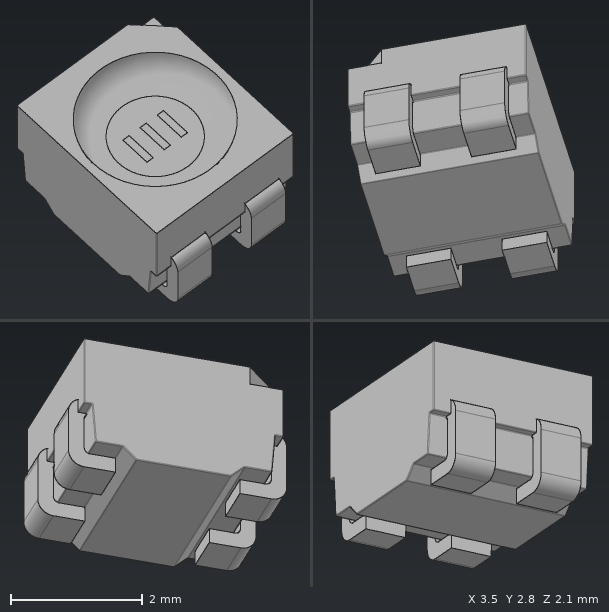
import cadquery as cq
import math

LEAD_SPAN = 3.5
BODY_DEPTH = 2.8
HEIGHT = 2.1

UPPER_HALF_WIDTH = 1.6
STEP_HALF_WIDTH = 1.465
BASE_HALF_WIDTH = 1.415
NOSE_TOP_HALF_WIDTH = 0.975
NOSE_BOTTOM_HALF_WIDTH = 0.76
STEP_Z = 0.955
BASE_Z = 0.295
NOSE_Z = 0.09
EDGE_RADIUS = 0.015

MARK_LEG = 0.54
MARK_DEPTH = 0.308

BOWL_TOP_RADIUS = 1.25
BOWL_FLOOR_RADIUS = 0.75
BOWL_DEPTH = 0.45
BOWL_WALL_BULGE = 0.112
FLOOR_Z = HEIGHT - BOWL_DEPTH

DISC_THICKNESS = 0.07
CHIP_COUNT = 3
CHIP_LENGTH = 0.55
CHIP_WIDTH = 0.125
CHIP_PITCH = 0.35

LEAD_WIDTH = 0.7
LEAD_PITCH = 1.5
LEAD_THICKNESS = 0.25
LEAD_OUTER_RADIUS = LEAD_THICKNESS
LEAD_INNER_RADIUS = 0.1
LEAD_END_X = 0.998
LEAD_TOP_Z = STEP_Z + LEAD_THICKNESS


def make_lead(side, y_center):
    """C-shaped lead: its upper arm enters the housing, its foot turns back underneath."""
    outer_x = LEAD_SPAN / 2
    inner_x = outer_x - LEAD_THICKNESS
    arm_length = outer_x - LEAD_END_X
    slot_length = inner_x - LEAD_END_X
    slot_height = LEAD_TOP_Z - 2 * LEAD_THICKNESS
    center_z = LEAD_TOP_Z / 2

    block = (
        cq.Workplane("XY")
        .box(arm_length, LEAD_WIDTH, LEAD_TOP_Z)
        .translate((LEAD_END_X + arm_length / 2, 0, center_z))
        .edges("|Y and >X")
        .fillet(LEAD_OUTER_RADIUS)
    )
    slot = (
        cq.Workplane("XY")
        .box(slot_length, LEAD_WIDTH, slot_height)
        .translate((LEAD_END_X + slot_length / 2, 0, center_z))
        .edges("|Y and >X")
        .fillet(LEAD_INNER_RADIUS)
    )
    lead = block.cut(slot)
    if side < 0:
        lead = lead.mirror("YZ")
    return lead.translate((0, y_center, 0))


def make_chip(y_center):
    """Flat rectangular chip whose top is flush with the bowl floor."""
    return cq.Workplane("XY").box(CHIP_LENGTH, CHIP_WIDTH, DISC_THICKNESS).translate(
        (0, y_center, FLOOR_Z - DISC_THICKNESS / 2)
    )


def make_floor_disc():
    """Plain round disc that forms the bowl floor."""
    return (
        cq.Workplane("XY", origin=(0, 0, FLOOR_Z - DISC_THICKNESS))
        .circle(BOWL_FLOOR_RADIUS)
        .extrude(DISC_THICKNESS)
    )


def make_housing_block():
    """Stepped cross-section run along Y, with every edge rounded except around the top."""
    right_side = [
        (UPPER_HALF_WIDTH, HEIGHT),
        (UPPER_HALF_WIDTH, STEP_Z),
        (STEP_HALF_WIDTH, STEP_Z),
        (BASE_HALF_WIDTH, BASE_Z),
        (NOSE_TOP_HALF_WIDTH, BASE_Z),
        (NOSE_BOTTOM_HALF_WIDTH, NOSE_Z),
    ]
    left_side = [(-x, z) for x, z in reversed(right_side)]
    block = (
        cq.Workplane("XZ")
        .polyline(right_side + left_side)
        .close()
        .extrude(BODY_DEPTH / 2, both=True)
    )
    return block.edges("not >Z").fillet(EDGE_RADIUS)


def make_corner_mark():
    """Triangular prism that notches the top at the -X, +Y corner."""
    corner_x = -UPPER_HALF_WIDTH
    corner_y = BODY_DEPTH / 2
    return (
        cq.Workplane("XY", origin=(0, 0, HEIGHT - MARK_DEPTH))
        .polyline([(corner_x, corner_y), (corner_x + MARK_LEG, corner_y), (corner_x, corner_y - MARK_LEG)])
        .close()
        .extrude(MARK_DEPTH)
    )


def make_bowl():
    """Bowl revolved about Z; its wall is an arc that bulges down and outward."""
    run = BOWL_TOP_RADIUS - BOWL_FLOOR_RADIUS
    wall_chord = math.hypot(run, BOWL_DEPTH)
    wall_middle = (
        (BOWL_TOP_RADIUS + BOWL_FLOOR_RADIUS) / 2 + BOWL_WALL_BULGE * BOWL_DEPTH / wall_chord,
        HEIGHT - BOWL_DEPTH / 2 - BOWL_WALL_BULGE * run / wall_chord,
    )
    return (
        cq.Workplane("XZ")
        .moveTo(0, FLOOR_Z)
        .lineTo(BOWL_FLOOR_RADIUS, FLOOR_Z)
        .threePointArc(wall_middle, (BOWL_TOP_RADIUS, HEIGHT))
        .lineTo(0, HEIGHT)
        .close()
        .revolve(360, (0, 0, 0), (0, 1, 0))
    )


leads = []
for side in (-1, 1):
    for row in (-1, 1):
        leads.append(make_lead(side, row * LEAD_PITCH / 2))

chips = []
for index in range(CHIP_COUNT):
    chips.append(make_chip((index - (CHIP_COUNT - 1) / 2) * CHIP_PITCH))

floor_disc = make_floor_disc()
housing = make_housing_block().cut(make_corner_mark()).cut(make_bowl()).cut(floor_disc)
for lead in leads:
    housing = housing.cut(lead)
for chip in chips:
    floor_disc = floor_disc.cut(chip)

result = cq.Compound.makeCompound(
    [
        housing.val(),
        floor_disc.val(),
        *[chip.val() for chip in chips],
        *[lead.val() for lead in leads],
    ]
)